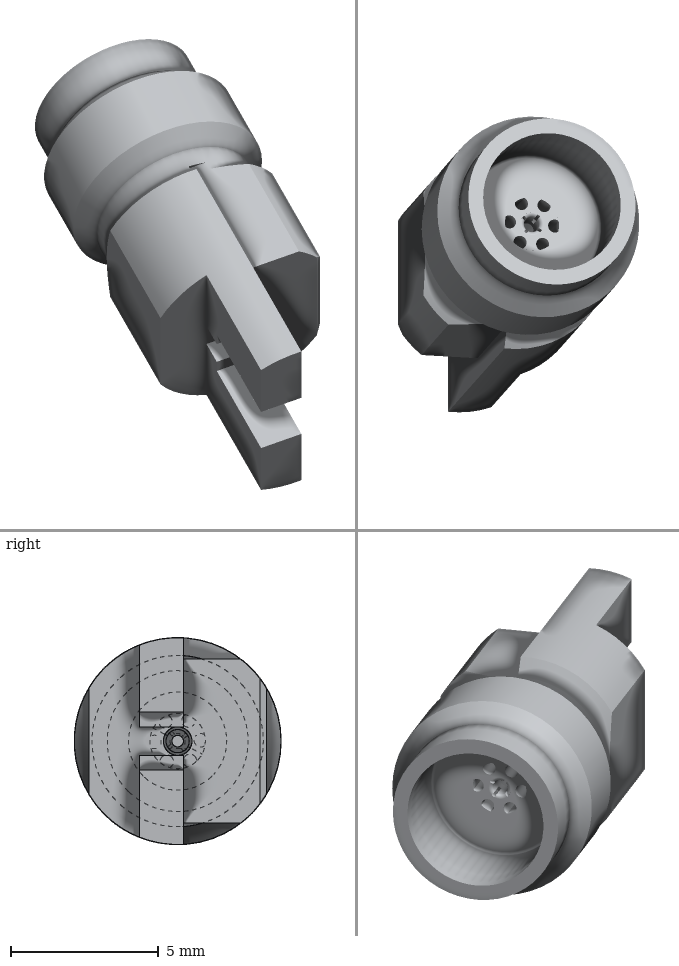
import cadquery as cq
import math

length = 15.1
collar_radius = 3.5
neck_radius = 2.9
collar_start = 1.5
collar_end = 5.1
block_start = 6.1
block_end = 10.6
shoulder_drop = collar_radius - neck_radius
collar_bevel = shoulder_drop
block_bevel_angle = 60.0
block_bevel = shoulder_drop / math.tan(math.radians(block_bevel_angle))

side_flat = 3.0
board_flat = 2.78
board_flat_start = 5.8
board_plane = 0.2
corner_bevel = 0.21

arm_bottom = -1.3
arm_gap_half_width = 0.98
line_radius = 0.48
arm_step = 11.45

bore_radius = 2.39
bore_depth = 3.07
bore_floor_fillet = 0.09

ring_radius = 1.66
ring_bore_radius = 0.94
ring_length = 1.36
ring_start = bore_depth
ring_end = ring_start + ring_length

bead_hole_count = 6
bead_hole_radius = 0.23
bead_hole_circle = 0.79
bead_hole_turn = -2.0
bead_split_angle = bead_hole_turn + 180 / bead_hole_count

pin_radius = 0.4
pin_tail_radius = board_plane
pin_end = 11.4
socket_radius = 0.25
socket_depth = 0.9
socket_tip_angle = 118.0
socket_slot_count = 4
socket_slot_width = 0.1
socket_slot_depth = 0.6
socket_slot_turn = 37.0
socket_rim_fillet = 0.128

reach = 2 * collar_radius
across = (-reach, reach)


def cylinder_x(radius, start, end):
    return cq.Workplane("YZ").workplane(offset=start).circle(radius).extrude(end - start)


def box(x_range, y_range, z_range):
    size = [high - low for low, high in (x_range, y_range, z_range)]
    corner = (x_range[0], y_range[0], z_range[0])
    return cq.Workplane("XY").box(*size, centered=False).translate(corner)


def turned(points):
    """Solid of revolution about the X axis from (x, radius) points."""
    return cq.Workplane("XY").polyline(points).close().revolve(360, (0, 0, 0), (1, 0, 0))


def turned_outline():
    """Solid barrel with its collar, neck and round rear block."""
    return turned([
        (0, 0),
        (0, neck_radius),
        (collar_start, neck_radius),
        (collar_start + collar_bevel, collar_radius),
        (collar_end - collar_bevel, collar_radius),
        (collar_end, neck_radius),
        (block_start, neck_radius),
        (block_start + block_bevel, collar_radius),
        (length, collar_radius),
        (length, 0),
    ])


def cut_flats(body):
    """Side flats, and steps above and below that clear the board side of the block."""
    for side in (-1, 1):
        beyond_side = sorted((side * side_flat, side * reach))
        body = body.cut(box((block_start, length), beyond_side, across))
        beyond_board_flat = sorted((side * board_flat, side * reach))
        body = body.cut(box((board_flat_start, length), (board_plane, reach), beyond_board_flat))
    return body


def cut_corner_bevel(body):
    """Bevel between the +Y flat and the rear face of the block."""
    bevel = (
        cq.Workplane("XY")
        .polyline([
            (block_end, side_flat),
            (block_end - corner_bevel, side_flat),
            (block_end, side_flat - corner_bevel),
        ])
        .close()
        .extrude(reach, both=True)
    )
    return body.cut(bevel)


def cut_arms(body):
    """Leave two arms behind the block, with a stepped gap between them."""
    body = body.cut(box((block_end, length), (board_plane, reach), across))
    body = body.cut(box((block_end, length), (-reach, arm_bottom), across))
    body = body.cut(box((block_end, arm_step), across, (-line_radius, line_radius)))
    return body.cut(box((arm_step, length), across, (-arm_gap_half_width, arm_gap_half_width)))


def cut_bores(body):
    """Socket bore with a rounded floor, the ring seat and the air line behind it."""
    bore = cylinder_x(bore_radius, 0, bore_depth).faces(">X").edges().fillet(bore_floor_fillet)
    body = body.cut(bore)
    body = body.cut(cylinder_x(ring_radius, ring_start, ring_end))
    return body.cut(cylinder_x(line_radius, ring_end, block_end))


def make_housing():
    body = turned_outline()
    body = cut_flats(body)
    body = cut_corner_bevel(body)
    body = cut_arms(body)
    return cut_bores(body)


def make_ring():
    """Ring set into the floor of the socket bore, around the bead."""
    ring = cylinder_x(ring_radius, ring_start, ring_end)
    return ring.cut(cylinder_x(ring_bore_radius, ring_start, ring_end))


def make_bead_half(turn):
    """Half of the bead, on one side of the split plane."""
    bead = cylinder_x(ring_bore_radius, ring_start, ring_end)
    bead = bead.cut(cylinder_x(pin_radius, ring_start, ring_end))
    hole = cylinder_x(bead_hole_radius, ring_start, ring_end).translate((0, -bead_hole_circle, 0))
    for index in range(bead_hole_count):
        angle = bead_hole_turn + index * 360 / bead_hole_count
        bead = bead.cut(hole.rotate((0, 0, 0), (1, 0, 0), -angle))
    half_space = box((ring_start, ring_end), across, (0, reach))
    return bead.intersect(half_space.rotate((0, 0, 0), (1, 0, 0), -bead_split_angle + turn))


def make_pin():
    pin = cylinder_x(pin_radius, ring_start, ring_end)
    pin = pin.union(cylinder_x(pin_tail_radius, ring_end, pin_end))
    tip_length = socket_radius / math.tan(math.radians(socket_tip_angle / 2))
    hole_end = ring_start + socket_depth
    pin = pin.cut(turned([
        (ring_start, 0),
        (ring_start, socket_radius),
        (hole_end, socket_radius),
        (hole_end + tip_length, 0),
    ]))
    pin = pin.faces("<X").edges(cq.selectors.RadiusNthSelector(0)).fillet(socket_rim_fillet)
    slot = box(
        (ring_start, ring_start + socket_slot_depth),
        (0, 2 * pin_radius),
        (-socket_slot_width / 2, socket_slot_width / 2),
    )
    for index in range(socket_slot_count):
        angle = socket_slot_turn + index * 360 / socket_slot_count
        pin = pin.cut(slot.rotate((0, 0, 0), (1, 0, 0), angle))
    return pin


housing = make_housing()
ring = make_ring()
bead_halves = [make_bead_half(turn) for turn in (0, 180)]
pin = make_pin()

result = cq.Compound.makeCompound([
    housing.val(),
    ring.val(),
    *[half.val() for half in bead_halves],
    pin.val(),
])